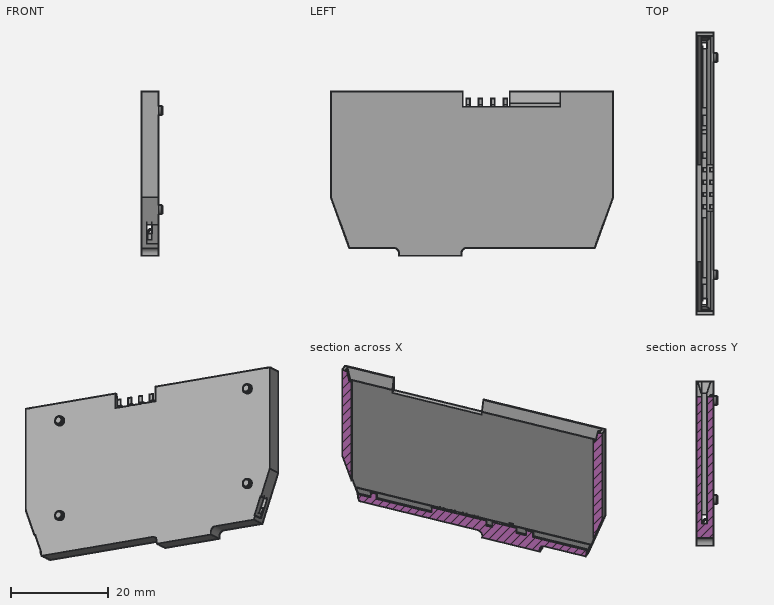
import cadquery as cq

LENGTH = 57.8
HEIGHT = 33.7
BODY_WIDTH = 3.5
TOTAL_WIDTH = 4.35

SHOULDER_Z = -21.75
BASE_Z = -32.1
BASE_HALF_LENGTH = 25.15
LUG_Y_MIN = 2.15
LUG_Y_MAX = 14.95
LUG_FILLET = 1.05

SLOT_X_MIN = 1.1
SLOT_X_MAX = 2.15
SLOT_HALF_LENGTH = 26.8
MOUTH_X_MAX = 2.95
MOUTH_DEPTH = 2.4
MOUTH_HALF_LENGTH = 27.8
MOUTH_BOTTOM_HALF_LENGTH = 27.3
BAY_X_MIN = 0.25
BAY_BOTTOM_X_MIN = 1.0
BAY_HALF_LENGTH = 28.2
GROOVE_SIZE = 0.1

FLOOR_Z = -30.35
RAISED_FLOOR_Z = -29.1
FLOOR_X_MIN = 1.3
RAISED_BLOCKS = [(-22.65, -21.25), (-9.1, 3.1), (4.4, 9.75), (11.9, 13.45)]

WINDOW_TOP_Z = -27.35
RECESS_BOTTOM_Z = -31.2
RECESS_DEPTH = 0.2

NOTCH_DEPTH = 3.1
NOTCH_Y_MAX = 1.85
WIDE_NOTCH_Y_MIN = -18.05
NARROW_NOTCH_Y_MIN = -7.7

CONTACT_COUNT = 4
CONTACT_PITCH = 2.55
FIRST_CONTACT_Y = 0.8
CONTACT_WIDTH = 0.8
STRIP_THICKNESS = 0.1
PIN_TIP_Z = -1.45
PIN_REACH = 0.8
PIN_BEND_RADIUS = 0.4
BLADE_FILLET = 0.2
SLOT_CONTACT_X = 1.35
SINGLE_CONTACT_X = 1.15
SINGLE_CONTACT_Y = 8.55

PEG_DIAMETER = 1.9
PEG_CHAMFER = 0.25
PEG_YS = (23.75, -20.7)
PEG_ZS = (-3.95, -24.2)

slope_run = LENGTH / 2 - BASE_HALF_LENGTH
slope_rise = SHOULDER_Z - BASE_Z


def box(x_range, y_range, z_range):
    """Axis-aligned box between the given limits."""
    size = [high - low for low, high in (x_range, y_range, z_range)]
    corner = (x_range[0], y_range[0], z_range[0])
    return cq.Workplane("XY").box(*size, centered=False).translate(corner)


def slope_y(z):
    """Half length of the outer outline at level z on the sloped corners."""
    return LENGTH / 2 - slope_run * (SHOULDER_Z - z) / slope_rise


def both_ends(solid):
    """The solid together with its mirror image at the opposite Y end."""
    return solid.union(solid.mirror("XZ"))


def make_body():
    half = LENGTH / 2
    fillet_end_z = BASE_Z - LUG_FILLET
    right_start = (LUG_Y_MAX + LUG_FILLET, BASE_Z)
    left_start = (LUG_Y_MIN, fillet_end_z)
    return (
        cq.Workplane("YZ")
        .moveTo(-half, 0)
        .lineTo(half, 0)
        .lineTo(half, SHOULDER_Z)
        .lineTo(BASE_HALF_LENGTH, BASE_Z)
        .lineTo(*right_start)
        .radiusArc((LUG_Y_MAX, fillet_end_z), -LUG_FILLET)
        .lineTo(LUG_Y_MAX, -HEIGHT)
        .lineTo(LUG_Y_MIN, -HEIGHT)
        .lineTo(*left_start)
        .radiusArc((LUG_Y_MIN - LUG_FILLET, BASE_Z), -LUG_FILLET)
        .lineTo(-BASE_HALF_LENGTH, BASE_Z)
        .lineTo(-half, SHOULDER_Z)
        .close()
        .extrude(BODY_WIDTH)
    )


def make_mouth():
    """Tapered opening down to the slot, with a longer bay along the -X wall."""
    bay = (
        cq.Workplane("XZ", origin=(0, BAY_HALF_LENGTH, 0))
        .polyline([
            (BAY_X_MIN, 0),
            (SLOT_X_MIN, 0),
            (SLOT_X_MIN, -MOUTH_DEPTH),
            (BAY_BOTTOM_X_MIN, -MOUTH_DEPTH),
        ])
        .close()
        .extrude(2 * BAY_HALF_LENGTH)
    )
    rim_width = MOUTH_X_MAX - SLOT_X_MIN
    slot_width = SLOT_X_MAX - SLOT_X_MIN
    funnel = (
        cq.Workplane("XY", origin=(SLOT_X_MIN + rim_width / 2, 0, 0))
        .rect(rim_width, 2 * MOUTH_HALF_LENGTH)
        .workplane(offset=-MOUTH_DEPTH)
        .center((slot_width - rim_width) / 2, 0)
        .rect(slot_width, 2 * MOUTH_BOTTOM_HALF_LENGTH)
        .loft(ruled=True)
    )
    return bay.union(funnel)


def make_rim_grooves():
    """Fine grooves across the top rim, one at each end of the mouth."""
    y_range = (BAY_HALF_LENGTH - GROOVE_SIZE, BAY_HALF_LENGTH)
    return both_ends(box((SLOT_X_MIN, BODY_WIDTH), y_range, (-GROOVE_SIZE, 0)))


def make_slot():
    """Central slot down to its stepped floor."""
    slot = box(
        (SLOT_X_MIN, SLOT_X_MAX),
        (-SLOT_HALF_LENGTH, SLOT_HALF_LENGTH),
        (FLOOR_Z, -MOUTH_DEPTH),
    )
    full_length = (-LENGTH / 2, LENGTH / 2)
    slot = slot.cut(box((SLOT_X_MIN, FLOOR_X_MIN), full_length, (FLOOR_Z, RAISED_FLOOR_Z)))
    for block in RAISED_BLOCKS:
        slot = slot.cut(box((SLOT_X_MIN, SLOT_X_MAX), block, (FLOOR_Z, RAISED_FLOOR_Z)))
    return slot


def make_end_windows():
    """Shallow recess parallel to each sloped face, with a window into the slot."""
    recess = (
        cq.Workplane("YZ")
        .workplane(offset=SLOT_X_MIN)
        .polyline([
            (slope_y(RECESS_BOTTOM_Z) - RECESS_DEPTH, RECESS_BOTTOM_Z),
            (LENGTH / 2, RECESS_BOTTOM_Z),
            (LENGTH / 2, WINDOW_TOP_Z),
            (slope_y(WINDOW_TOP_Z) - RECESS_DEPTH, WINDOW_TOP_Z),
        ])
        .close()
        .extrude(BODY_WIDTH - SLOT_X_MIN)
    )
    window_y = (BASE_HALF_LENGTH, LENGTH / 2)
    lower = box((FLOOR_X_MIN, SLOT_X_MAX), window_y, (FLOOR_Z, RAISED_FLOOR_Z))
    upper = box((SLOT_X_MIN, SLOT_X_MAX), window_y, (RAISED_FLOOR_Z, WINDOW_TOP_Z))
    return both_ends(recess.union(lower).union(upper))


def make_notches():
    z_range = (-NOTCH_DEPTH, 0)
    wide = box((0, SLOT_X_MIN), (WIDE_NOTCH_Y_MIN, NOTCH_Y_MAX), z_range)
    narrow = box((SLOT_X_MAX, BODY_WIDTH), (NARROW_NOTCH_Y_MIN, NOTCH_Y_MAX), z_range)
    return wide.union(narrow)


def make_pin(y_centre):
    """Strip that rises from the notch floor, bends over and turns up into a blade."""
    foot_x = BODY_WIDTH - PIN_REACH
    blade_x = BODY_WIDTH - STRIP_THICKNESS
    shelf_x = foot_x + PIN_BEND_RADIUS
    shelf_z = PIN_BEND_RADIUS - NOTCH_DEPTH
    inner = PIN_BEND_RADIUS - STRIP_THICKNESS
    return (
        cq.Workplane("XZ", origin=(0, y_centre, 0))
        .moveTo(foot_x, -NOTCH_DEPTH)
        .radiusArc((shelf_x, shelf_z), PIN_BEND_RADIUS)
        .lineTo(blade_x - BLADE_FILLET, shelf_z)
        .radiusArc((blade_x, shelf_z + BLADE_FILLET), -BLADE_FILLET)
        .lineTo(blade_x, PIN_TIP_Z)
        .lineTo(BODY_WIDTH, PIN_TIP_Z)
        .lineTo(BODY_WIDTH, shelf_z - STRIP_THICKNESS)
        .lineTo(shelf_x, shelf_z - STRIP_THICKNESS)
        .radiusArc((shelf_x - inner, -NOTCH_DEPTH), -inner)
        .close()
        .extrude(CONTACT_WIDTH / 2, both=True)
    )


def make_slot_contact(x_start, y_centre):
    """Quarter bend from the raised slot floor over to the +X slot wall."""
    radius = SLOT_X_MAX - x_start
    inner = radius - STRIP_THICKNESS
    return (
        cq.Workplane("XZ", origin=(0, y_centre, 0))
        .moveTo(x_start, RAISED_FLOOR_Z)
        .radiusArc((SLOT_X_MAX, RAISED_FLOOR_Z + radius), radius)
        .lineTo(SLOT_X_MAX, RAISED_FLOOR_Z + inner)
        .radiusArc((SLOT_X_MAX - inner, RAISED_FLOOR_Z), -inner)
        .close()
        .extrude(CONTACT_WIDTH / 2, both=True)
    )


def make_peg(y_centre, z_centre):
    return (
        cq.Workplane("YZ", origin=(BODY_WIDTH, y_centre, z_centre))
        .circle(PEG_DIAMETER / 2)
        .extrude(TOTAL_WIDTH - BODY_WIDTH)
        .faces(">X")
        .chamfer(PEG_CHAMFER)
    )


result = (
    make_body()
    .cut(make_mouth())
    .cut(make_rim_grooves())
    .cut(make_slot())
    .cut(make_end_windows())
    .cut(make_notches())
)

for index in range(CONTACT_COUNT):
    contact_y = FIRST_CONTACT_Y - index * CONTACT_PITCH
    result = result.union(make_pin(contact_y))
    result = result.union(make_slot_contact(SLOT_CONTACT_X, contact_y))
result = result.union(make_slot_contact(SINGLE_CONTACT_X, SINGLE_CONTACT_Y))

for peg_y in PEG_YS:
    for peg_z in PEG_ZS:
        result = result.union(make_peg(peg_y, peg_z))